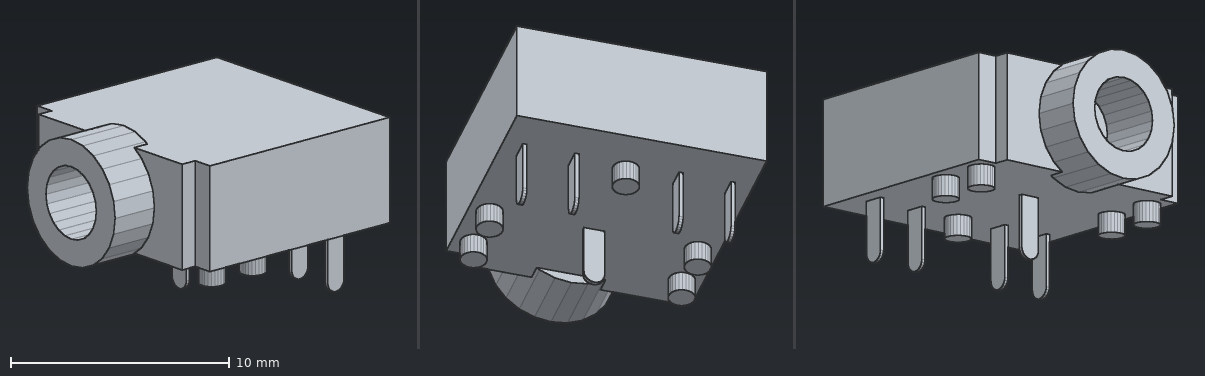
import cadquery as cq


facets = 24

housing_width = 12.0
housing_height = 5.1
shoulder_depth = 11.0
nose_length = 0.8
shoulder_width = 1.02
nose_width = housing_width - 2 * shoulder_width

barrel_diameter = 6.1
bore_diameter = 3.5
overall_depth = 14.2
barrel_length = overall_depth - shoulder_depth
barrel_height = housing_height / 2

grid_pitch = 2.5
terminal_width = 1.0
terminal_thickness = 0.2
terminal_length = 3.0
post_diameter = 1.25
post_length = 1.0
embed = 0.14

rear_row = -grid_pitch
middle_row = rear_row - 2 * grid_pitch
front_row = middle_row - grid_pitch


def block(width, depth):
    """Block of the housing height reaching forward from the rear face."""
    return cq.Workplane("XY").box(
        width, depth, housing_height, centered=(True, False, False)
    ).translate((0, -depth, 0))


def forward_prism(diameter):
    """Faceted cylinder on the barrel axis, from the shoulder plane to the barrel front."""
    return (
        cq.Workplane("XZ", origin=(0, -shoulder_depth, barrel_height))
        .polygon(facets, diameter)
        .extrude(barrel_length)
    )


def terminal(x, y, turn):
    """Flat blade with a rounded tip, lying across X and then turned about Z."""
    tip_start = terminal_width / 2 - terminal_length
    shank = cq.Workplane("XY", origin=(0, 0, tip_start)).box(
        terminal_width, terminal_thickness, embed - tip_start, centered=(True, True, False)
    )
    tip = (
        cq.Workplane("XZ", origin=(0, 0, tip_start))
        .polygon(facets, terminal_width)
        .extrude(terminal_thickness / 2, both=True)
    )
    return shank.union(tip).rotate((0, 0, 0), (0, 0, 1), turn).translate((x, y, 0))


def post(x, y):
    """Faceted round locating post under the housing."""
    return (
        cq.Workplane("XY", origin=(x, y, embed))
        .polygon(facets, post_diameter)
        .extrude(-post_length - embed)
    )


result = block(housing_width, shoulder_depth)
result = result.union(block(nose_width, shoulder_depth + nose_length))
result = result.union(forward_prism(barrel_diameter))
result = result.cut(forward_prism(bore_diameter))

for column in (-2, -1, 1, 2):
    result = result.union(terminal(column * grid_pitch, rear_row, 90))
result = result.union(terminal(0, middle_row, 0))

result = result.union(post(0, rear_row))
for side in (-1, 1):
    for row in (middle_row, front_row):
        result = result.union(post(side * 2 * grid_pitch, row))